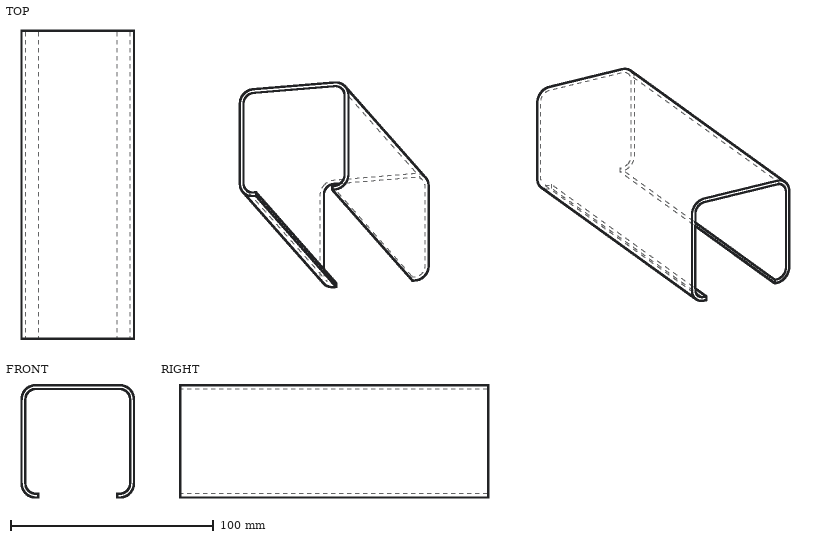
import cadquery as cq

length = 152.4
side = 55.6
wall = 2.0
outer_radius = 7.0
slot_width = 39.0

inner_side = side - 2 * wall
inner_radius = outer_radius - wall


def rounded_bar(size, radius):
    """Square bar along Y, centred on the origin, with rounded long edges."""
    return cq.Workplane("XY").box(size, length, size).edges("|Y").fillet(radius)


tube = rounded_bar(side, outer_radius).cut(rounded_bar(inner_side, inner_radius))

slot = cq.Workplane("XY").box(slot_width, length, side / 2).translate((0, 0, -side / 2))

result = tube.cut(slot)